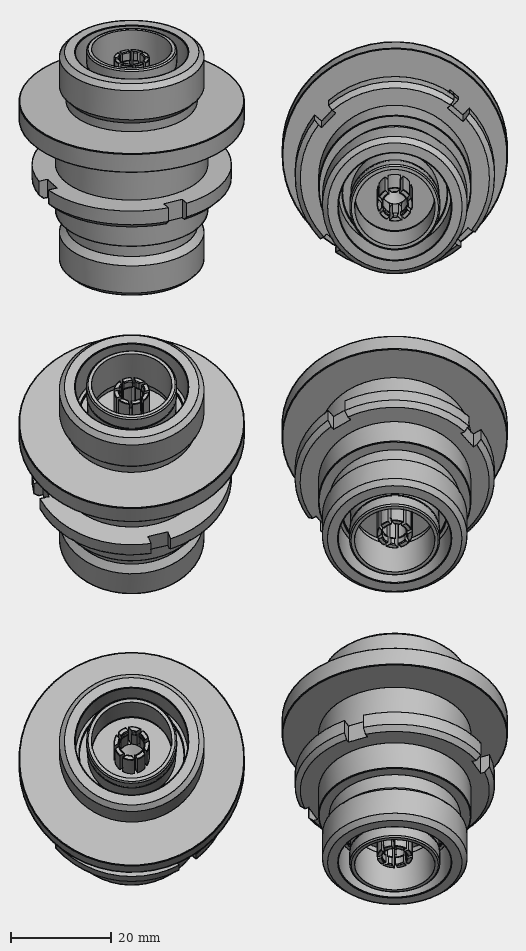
import cadquery as cq

total_height = 49.1

head_radius = 14.45
head_chamfer = 1.05
head_taper_height = 1.4
neck_radius = 13.1
upper_head_height = 9.05
lower_head_height = 8.6
upper_ring_protrusion = 0.7
lower_ring_protrusion = 0.6

barrel_radius = 15.2
barrel_bottom = 12.5
barrel_edge_chamfer = 0.15

flange_radius = 22.5
flange_bottom = 33.15
flange_thickness = 4.25
flange_edge_chamfer = 0.15

peg_size = 2.25
peg_length = 1.65
peg_centre_y = 16.45

nut_radius = 19.9
nut_bottom = 18.95
nut_height = 4.1
nut_chamfer = 1.05
nut_slot_width = 4.1
nut_slot_floor = 17.85
nut_slot_count = 4

gap_radius = 11.25
gap_depth = 9.0
gap_edge_chamfer = 0.15
gap_step_radius = 10.4
gap_step_depth = 0.5

ring_radius = 9.0
ring_collar_height = 3.2
ring_stem_radius = 8.8
ring_chamfer = 0.3
ring_bore_radius = 8.0
ring_undercut_radius = 8.3
ring_undercut_height = 1.45
floor_depth = gap_depth + ring_undercut_height

contact_recess = 1.95
contact_radius = 3.55
contact_outer_chamfer = 0.1
contact_lip_radius = 2.5
contact_lip_chamfer = 0.2
contact_lip_height = 2.0
contact_bore_radius = 2.7
contact_cone_height = 1.6
contact_slot_width = 0.6
contact_slot_offset = 1.2


def cylinder(radius, bottom, height):
    return cq.Workplane("XY").workplane(offset=bottom).circle(radius).extrude(height)


def revolve_profile(points):
    """Revolve an outline of (radius, z) points about the Z axis."""
    return cq.Workplane("XZ").polyline(points).close().revolve(360, (0, 0), (0, 1))


def make_head(height):
    """Head with its rim at z = 0, tapering down to the neck radius at z = -height."""
    profile = [
        (0, 0),
        (head_radius - head_chamfer, 0),
        (head_radius, -head_chamfer),
        (head_radius, head_taper_height - height),
        (neck_radius, -height),
        (0, -height),
    ]
    return revolve_profile(profile)


def make_ring():
    """Ring with its end face at z = 0, a wider collar on top and a plain bore."""
    stem_height = gap_depth + gap_step_depth - ring_collar_height
    ring = cylinder(ring_radius, -ring_collar_height, ring_collar_height)
    ring = ring.faces(">Z").edges().chamfer(ring_chamfer)
    ring = ring.union(cylinder(ring_stem_radius, -ring_collar_height - stem_height, stem_height))
    return ring.cut(cylinder(ring_bore_radius, -gap_depth, gap_depth))


def make_contact():
    """Contact fingers standing on z = 0 around a bore that narrows to a lip at the tip."""
    height = floor_depth - contact_recess
    profile = [
        (contact_bore_radius, 0),
        (contact_radius, 0),
        (contact_radius, height - contact_outer_chamfer),
        (contact_radius - contact_outer_chamfer, height),
        (contact_lip_radius + contact_lip_chamfer, height),
        (contact_lip_radius, height - contact_lip_chamfer),
        (contact_lip_radius, height - contact_lip_height),
        (contact_bore_radius, height - contact_lip_height),
    ]
    contact = revolve_profile(profile)
    for offset in (-contact_slot_offset, contact_slot_offset):
        slot = cq.Workplane("XY").rect(contact_slot_width, 2 * contact_radius).extrude(height)
        slot = slot.translate((offset, 0, 0))
        contact = contact.cut(slot)
        contact = contact.cut(slot.rotate((0, 0, 0), (0, 0, 1), 90))
    return contact


def edge_break(radius, top):
    """Cone that chamfers the edge of a hole opening at the given height."""
    cone = cq.Solid.makeCone(radius, radius + gap_edge_chamfer, gap_edge_chamfer)
    return cq.Workplane(cone).translate((0, 0, top - gap_edge_chamfer))


def add_socket(body, protrusion):
    """Add gap, ring and contact to a body whose ring end is at z = 0 and head rim at z = -protrusion."""
    body = body.cut(cylinder(gap_radius, -gap_depth, gap_depth))
    body = body.cut(cylinder(gap_step_radius, -gap_depth - gap_step_depth, gap_step_depth))
    body = body.cut(edge_break(gap_radius, -protrusion))
    body = body.cut(edge_break(gap_step_radius, -gap_depth))

    body = body.union(make_ring())
    body = body.cut(cylinder(ring_undercut_radius, -floor_depth, ring_undercut_height))

    body = body.union(make_contact().translate((0, 0, -floor_depth)))
    drill_tip = cq.Solid.makeCone(0, contact_bore_radius, contact_cone_height)
    return body.cut(cq.Workplane(drill_tip).translate((0, 0, -floor_depth - contact_cone_height)))


def make_nut():
    """Ring nut chamfered underneath, with spanner slots around its rim."""
    nut = cylinder(nut_radius, nut_bottom, nut_height).faces("<Z").edges().chamfer(nut_chamfer)
    slot = cq.Workplane("XY").box(nut_radius, nut_slot_width, nut_height, centered=(False, True, False))
    slot = slot.translate((nut_slot_floor, 0, nut_bottom))
    for i in range(nut_slot_count):
        nut = nut.cut(slot.rotate((0, 0, 0), (0, 0, 1), i * 360 / nut_slot_count))
    return nut


def make_peg():
    peg = cq.Workplane("XY").box(peg_size, peg_size, peg_length, centered=(True, True, False))
    return peg.translate((0, peg_centre_y, flange_bottom - peg_length))


def turn_over(body):
    """Swap the two ends, keeping the upper end at z = 0 and the lower at z = -total_height."""
    return body.rotate((0, 0, 0), (1, 0, 0), 180).translate((0, 0, -total_height))


upper_rim = total_height - upper_ring_protrusion
lower_rim = lower_ring_protrusion
upper_head = make_head(upper_head_height).translate((0, 0, upper_rim))
lower_head = make_head(lower_head_height).rotate((0, 0, 0), (1, 0, 0), 180).translate((0, 0, lower_rim))
neck_bottom = lower_rim + lower_head_height
neck_top = upper_rim - upper_head_height
body = cylinder(neck_radius, neck_bottom, neck_top - neck_bottom).union(upper_head).union(lower_head)

barrel = cylinder(barrel_radius, barrel_bottom, flange_bottom - barrel_bottom)
barrel = barrel.faces("<Z").edges().chamfer(barrel_edge_chamfer)
flange = cylinder(flange_radius, flange_bottom, flange_thickness).edges().chamfer(flange_edge_chamfer)
body = body.union(barrel).union(flange).union(make_peg()).union(make_nut())

body = body.translate((0, 0, -total_height))
body = add_socket(body, upper_ring_protrusion)
body = add_socket(turn_over(body), lower_ring_protrusion)
result = turn_over(body).translate((0, 0, total_height))